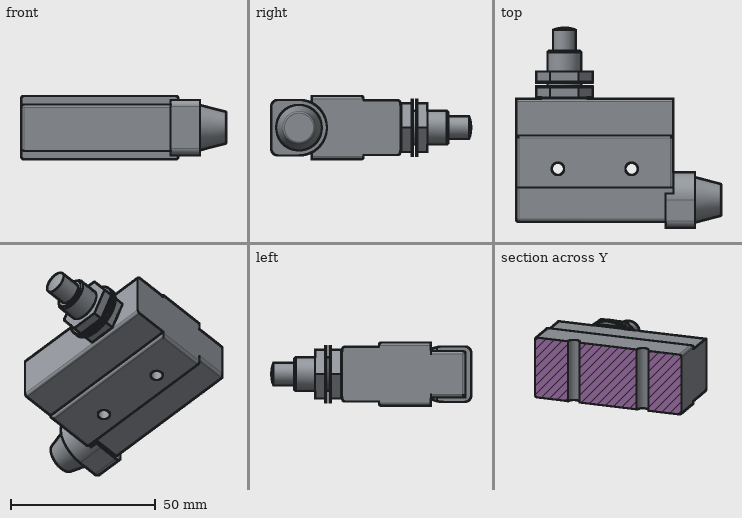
import cadquery as cq
import math

housing_length = 54.4
front_band_width = 12.0
middle_band_width = 18.0
rear_band_width = 12.7
front_band_height = 16.0
middle_band_height = 22.0
rear_band_height = 19.0
housing_fillet = 1.0

middle_start_y = front_band_width
rear_start_y = middle_start_y + middle_band_width
housing_rear_y = rear_start_y + rear_band_width

mounting_hole_diameter = 4.2
mounting_hole_spacing = 25.5
mounting_hole_y = 18.4

plunger_axis_x = 16.7
seat_diameter = 16.0
seat_thickness = 0.4
nut_across_flats = 17.0
nut_across_corners = nut_across_flats / math.cos(math.radians(30))
nut_thickness = 3.4
washer_diameter = nut_across_corners
washer_thickness = 0.6
washer_gap = 1.0
bushing_diameter = 11.8
bushing_chamfer = 0.6
bushing_length = 16.6
bushing_end_y = housing_rear_y + bushing_length
plunger_diameter = 8.0
plunger_reach = 24.6
plunger_tip_y = housing_rear_y + plunger_reach
plunger_dome_height = 0.85

gland_radius = 9.65
gland_bottom_y = -2.0
gland_axis_y = gland_bottom_y + gland_radius
gland_corner_radius = 2.4
gland_start_x = 51.7
gland_end_x = 61.9
gland_notch_y = 9.9
nose_end_x = 71.0
nose_base_diameter = 15.8
nose_end_diameter = 11.0
nose_fillet = 0.6


def housing_band(start_y, width, height):
    """Full-length block of the housing, centred on Z = 0."""
    block = cq.Workplane("XY").box(housing_length, width, height, centered=(False, False, True))
    return block.translate((0, start_y, 0))


def make_housing():
    front = housing_band(0, front_band_width, front_band_height)
    left_edges = front.faces("<X").edges("not >Y")
    front = left_edges.add(front.faces(">Z").edges("<Y")).fillet(housing_fillet)
    middle = housing_band(middle_start_y, middle_band_width, middle_band_height)
    middle = middle.faces("<Z or >Z").edges("not <Y").fillet(housing_fillet)
    rear = housing_band(rear_start_y, rear_band_width, rear_band_height)
    rear = rear.faces(">Y").edges("|X").fillet(housing_fillet)
    return front.union(middle).union(rear)


def plunger_plane(y):
    """Plane on the plunger axis facing +Y, with its local X along -X."""
    return cq.Workplane(cq.Plane(origin=(plunger_axis_x, y, 0), xDir=(-1, 0, 0), normal=(0, 1, 0)))


def plunger_disc(start_y, diameter, length):
    return plunger_plane(start_y).circle(diameter / 2).extrude(length)


def plunger_nut(start_y):
    """Hexagon nut with its corners on the X axis and flats facing up and down."""
    return plunger_plane(start_y).polygon(6, nut_across_corners).extrude(nut_thickness)


def make_plunger():
    inner_nut_y = housing_rear_y + seat_thickness
    inner_washer_y = inner_nut_y + nut_thickness
    outer_washer_y = inner_washer_y + washer_thickness + washer_gap
    outer_nut_y = outer_washer_y + washer_thickness

    seat = plunger_disc(housing_rear_y, seat_diameter, seat_thickness)
    bushing = plunger_disc(housing_rear_y, bushing_diameter, bushing_length)
    bushing = bushing.faces(">Y").chamfer(bushing_chamfer)
    stack = seat.union(bushing)
    for nut_y in (inner_nut_y, outer_nut_y):
        stack = stack.union(plunger_nut(nut_y))
    for washer_y in (inner_washer_y, outer_washer_y):
        stack = stack.union(plunger_disc(washer_y, washer_diameter, washer_thickness))
    return stack.union(make_plunger_pin())


def make_plunger_pin():
    """Round pin with a shallow spherical tip."""
    radius = plunger_diameter / 2
    shoulder_y = plunger_tip_y - plunger_dome_height
    sphere_radius = (radius**2 + plunger_dome_height**2) / (2 * plunger_dome_height)
    half_angle = math.asin(radius / sphere_radius) / 2
    arc_middle = (
        sphere_radius * math.sin(half_angle),
        plunger_tip_y - sphere_radius * (1 - math.cos(half_angle)),
    )
    profile = (
        cq.Workplane("XY")
        .moveTo(0, bushing_end_y)
        .lineTo(radius, bushing_end_y)
        .lineTo(radius, shoulder_y)
        .threePointArc(arc_middle, (0, plunger_tip_y))
        .close()
    )
    return profile.revolve(360, (0, 0, 0), (0, 1, 0)).translate((plunger_axis_x, 0, 0))


def make_gland():
    """Collar with a round rear half and a square front half, plus its nose."""
    collar = (
        cq.Workplane("YZ", origin=(gland_start_x, 0, 0))
        .moveTo(gland_bottom_y, -gland_radius)
        .lineTo(gland_axis_y, -gland_radius)
        .threePointArc((gland_axis_y + gland_radius, 0), (gland_axis_y, gland_radius))
        .lineTo(gland_bottom_y, gland_radius)
        .close()
        .extrude(gland_end_x - gland_start_x)
    )
    collar = collar.faces("<Y").edges("|X").fillet(gland_corner_radius)
    notch = cq.Workplane("XY").box(
        housing_length - gland_start_x,
        2 * gland_radius,
        2 * gland_radius,
        centered=(False, False, True),
    )
    collar = collar.cut(notch.translate((gland_start_x, gland_notch_y, 0)))
    nose = (
        cq.Workplane("YZ", origin=(gland_end_x, gland_axis_y, 0))
        .circle(nose_base_diameter / 2)
        .workplane(offset=nose_end_x - gland_end_x)
        .circle(nose_end_diameter / 2)
        .loft()
    )
    nose = nose.faces(">X").edges().fillet(nose_fillet)
    return collar.union(nose)


def make_mounting_holes():
    middle_x = housing_length / 2
    centres = [(middle_x + side * mounting_hole_spacing / 2, mounting_hole_y) for side in (-1, 1)]
    return (
        cq.Workplane("XY", origin=(0, 0, -middle_band_height / 2))
        .pushPoints(centres)
        .circle(mounting_hole_diameter / 2)
        .extrude(middle_band_height)
    )


result = make_housing().union(make_plunger()).union(make_gland()).cut(make_mounting_holes())